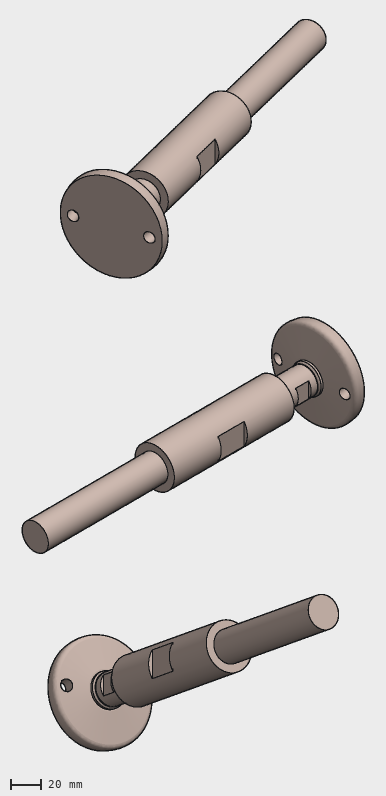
import cadquery as cq
import math

total_length = 277.0

foot_diameter = 78.0
sole_diameter = 77.0
sole_taper_height = 4.2
rim_height = 9.5
rim_fillet = 3.3
cone_top_diameter = 28.8
cone_top = 13.3
collar_diameter = 26.3
collar_top = 15.2
neck_diameter = 23.0
foot_height = 17.0

hole_diameter = 8.5
hole_offset = 28.8
hole_tool_overrun = 13.8
hole_tilt = math.atan2(cone_top - rim_height, (foot_diameter - cone_top_diameter) / 2)

spindle_diameter = 24.0
sleeve_diameter = 36.0
sleeve_start = 46.3
sleeve_length = 115.5

spindle_flats_width = 19.5
spindle_flats_start = 23.5
spindle_flats_length = 12.5
sleeve_flats_width = 30.2
sleeve_flats_length = 25.2
sleeve_flats_start = sleeve_start + (sleeve_length - sleeve_flats_length) / 2


def cylinder(diameter, start, length):
    """Cylinder along +Y whose near end is at Y = start."""
    return cq.Workplane(
        cq.Solid.makeCylinder(diameter / 2, length, cq.Vector(0, start, 0), cq.Vector(0, 1, 0))
    )


def cut_flats(body, diameter, width, start, length):
    """Cut two parallel wrench flats, facing -X and +X, into a round body."""
    depth = (diameter - width) / 2
    for side in (-1, 1):
        cutter = cq.Workplane("XY").box(depth, length, diameter).translate(
            (side * (width + depth) / 2, start + length / 2, 0)
        )
        body = body.cut(cutter)
    return body


def make_foot():
    """Conical foot plate with a rounded rim, a short tapered collar and two fixing holes."""
    cone_radius = foot_diameter / 2
    plate = (
        cq.Workplane("XY")
        .polyline([
            (0, 0),
            (sole_diameter / 2, 0),
            (cone_radius, sole_taper_height),
            (cone_radius, rim_height),
            (cone_top_diameter / 2, cone_top),
            (collar_diameter / 2, cone_top),
            (collar_diameter / 2, collar_top),
            (neck_diameter / 2, foot_height),
            (0, foot_height),
        ])
        .close()
        .revolve(360, (0, 0, 0), (0, 1, 0))
    )
    rim_zone = cq.selectors.BoxSelector(
        (-foot_diameter, rim_height - rim_fillet / 2, -foot_diameter),
        (foot_diameter, rim_height + rim_fillet / 2, foot_diameter),
    )
    foot = plate.edges("%CIRCLE").edges(rim_zone).fillet(rim_fillet)
    length = foot_height + 2 * hole_tool_overrun
    for side in (-1, 1):
        direction = cq.Vector(side * math.sin(hole_tilt), math.cos(hole_tilt), 0)
        start = cq.Vector(side * hole_offset, 0, 0) - direction * hole_tool_overrun
        drill = cq.Solid.makeCylinder(hole_diameter / 2, length, start, direction)
        foot = foot.cut(cq.Workplane(drill))
    return foot


def make_spindle():
    """One-piece foot and rod, with wrench flats on the rod just above the foot."""
    rod = cylinder(spindle_diameter, foot_height, total_length - foot_height)
    rod = cut_flats(
        rod, spindle_diameter, spindle_flats_width, spindle_flats_start, spindle_flats_length
    )
    return make_foot().union(rod)


def make_sleeve():
    """Tube around the spindle, with wrench flats halfway along it."""
    sleeve = cylinder(sleeve_diameter, sleeve_start, sleeve_length)
    sleeve = sleeve.cut(cylinder(spindle_diameter, sleeve_start, sleeve_length))
    return cut_flats(
        sleeve, sleeve_diameter, sleeve_flats_width, sleeve_flats_start, sleeve_flats_length
    )


spindle = make_spindle()
sleeve = make_sleeve()
result = cq.Compound.makeCompound([spindle.val(), sleeve.val()])